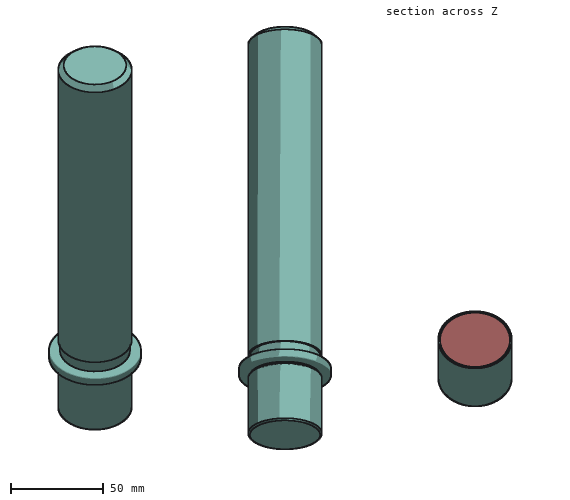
import cadquery as cq

total_length = 235.0
shaft_diameter = 40.0
flange_diameter = 50.0
neck_diameter = 38.0

base_top = 33.5
flange_bottom = 35.0
flange_thickness = 5.0
flange_top = flange_bottom + flange_thickness
shank_bottom = 47.0

tip_chamfer = 3.0
base_chamfer = 1.0
flange_fillet = 0.7


def cylinder(diameter, bottom, top):
    """Solid cylinder about the Z axis between two heights."""
    return cq.Workplane("XY").workplane(offset=bottom).circle(diameter / 2).extrude(top - bottom)


base = cylinder(shaft_diameter, 0, base_top).faces("<Z").chamfer(base_chamfer)

neck = cylinder(neck_diameter, base_top, shank_bottom)

flange = cylinder(flange_diameter, flange_bottom, flange_top).edges("%CIRCLE").fillet(flange_fillet)

shank = cylinder(shaft_diameter, shank_bottom, total_length).faces(">Z").chamfer(tip_chamfer)

result = base.union(neck).union(flange).union(shank)